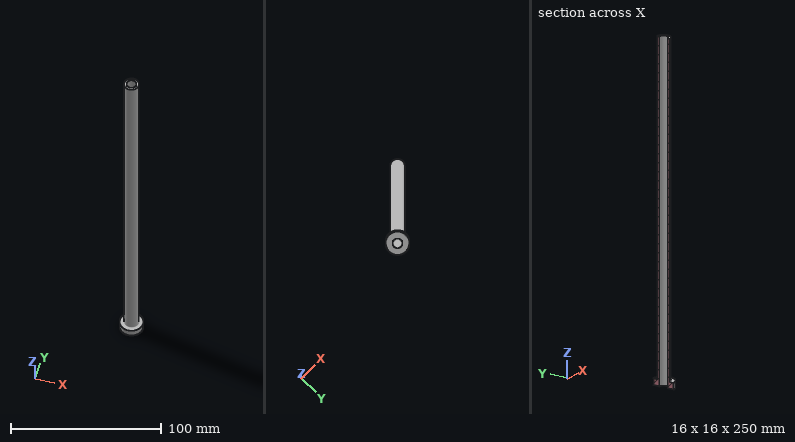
import cadquery as cq

total_length = 250.0
head_diameter = 16.0
head_height = 5.0
tube_diameter = 10.0
bore_diameter = 6.5
neck_fillet = 0.5

head_radius = head_diameter / 2
tube_radius = tube_diameter / 2
bore_radius = bore_diameter / 2

fillet_offset = neck_fillet * (1 - 0.5**0.5)
section = (
    cq.Workplane("XZ")
    .moveTo(bore_radius, 0)
    .lineTo(head_radius, 0)
    .lineTo(head_radius, head_height)
    .lineTo(tube_radius + neck_fillet, head_height)
    .threePointArc(
        (tube_radius + fillet_offset, head_height + fillet_offset),
        (tube_radius, head_height + neck_fillet),
    )
    .lineTo(tube_radius, total_length)
    .lineTo(bore_radius, total_length)
    .close()
)

result = section.revolve(360, (0, 0, 0), (0, 1, 0))